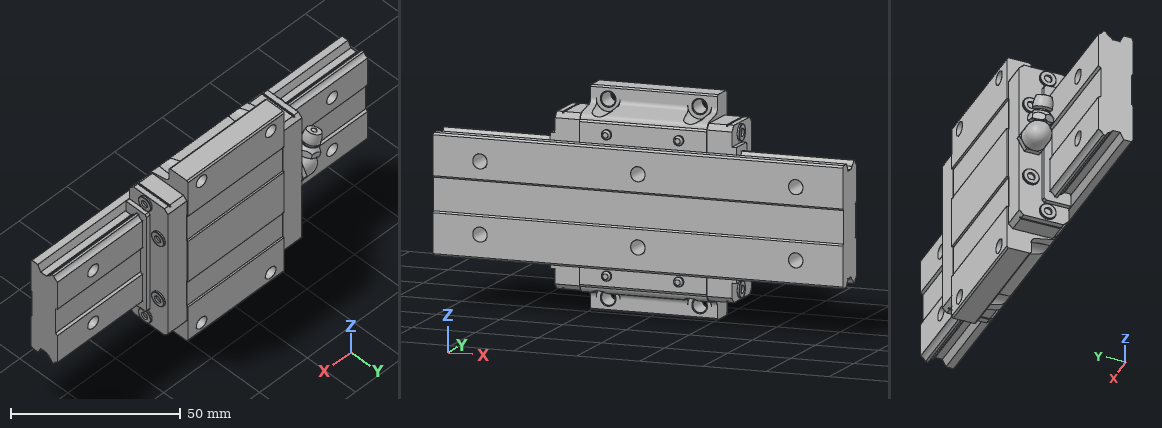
import cadquery as cq
import math


OVERALL_HEIGHT = 21.0

RAIL_LENGTH = 130.0
RAIL_HALF_WIDTH = 18.6
RAIL_HEIGHT = 11.2
RAIL_EDGE_CHAMFER_Y = 0.5
RAIL_EDGE_CHAMFER_Z = 0.6
RAIL_FOOT_HEIGHT = 3.0
WAIST_HALF_WIDTH = 16.2
WAIST_BOTTOM = 4.2
WAIST_TOP = 6.5
RACE_RADIUS = 2.6
LOWER_RACE_START = (7.3, 17.0)
LAND_BOTTOM = 8.7
LAND_TOP = 9.6
RAIL_TOP_HALF_WIDTH = 17.0
RELIEF_FLOOR_HALF_WIDTH = 5.1
RELIEF_MOUTH_HALF_WIDTH = 5.6
BASE_RELIEF_DEPTH = 0.4
TOP_RELIEF_DEPTH = 0.8
RAIL_HOLE_DIAMETER = 4.5
RAIL_HOLE_PITCH = 50.0
RAIL_HOLE_ROW_SPACING = 22.1

BLOCK_LENGTH = 40.3
BLOCK_TOP = 20.9
BLOCK_BOTTOM = 4.2
FLANGE_HALF_WIDTH = 68.0 / 2
FLANGE_UNDERSIDE = 13.0
FLANGE_CHAMFER = 0.5
ROOT_ARC_START_Z = 30.0
FLANK_TOP = (11.6, 28.2)
FLANK_BOTTOM = (6.4, 27.2)
CORNER_END = (4.5, 25.2)
BOTTOM_EDGE_Z = 24.6
TOP_GROOVE_DEPTH = 0.6
TOP_GROOVE_INNER_Z = 8.6
TOP_GROOVE_OUTER_Z = 19.2

MOUNT_SPACING_X = 29.0
MOUNT_SPACING_Z = 60.0
MOUNT_HOLE_DIAMETER = 4.4
MOUNT_HOLE_MOUTH_DIAMETER = 5.0
SPOTFACE_DIAMETER = 7.5

STUD_DIAMETER = 3.0
STUD_HEIGHT = 1.3
STUD_CHAMFER = 0.6
STUD_SPACING_X = 22.9
STUD_SPACING_Z = 42.6

CAP_END_X = 28.1
CAP_HALF_WIDTH = 26.8
CAP_TOP = 20.4
CAP_BOTTOM = 4.4
CAP_TOP_CHAMFER = 1.4
CAP_BOTTOM_CHAMFER = 1.7
CAP_GROOVE_X = 26.0
CAP_GROOVE_WIDTH = 0.4
CAP_GROOVE_DEPTH = 0.4
SEAL_END_X = 29.5
SEAL_HALF_WIDTH = 20.5
SEAL_TOP = 13.0
SEAL_CHAMFER = 0.6
SCREW_HEAD_DIAMETER = 5.2
SCREW_HEAD_CHAMFER = 0.1
SCREW_HEAD_HEIGHT = 0.6
SCREW_SOCKET_DIAMETER = 2.5
SCREW_CENTRES_YZ = [(16.8, 12.7), (11.3, 23.7)]

NIPPLE_TILT = 22.5
COLLAR_ACROSS_FLATS = 8.0
COLLAR_ACROSS_CORNERS = COLLAR_ACROSS_FLATS / math.cos(math.pi / 6)
NIPPLE_Y = OVERALL_HEIGHT - COLLAR_ACROSS_CORNERS / 2
COLLAR_END_X = 29.6
DOME_RADIUS = 4.0
DOME_CENTRE_X = 32.9
HEX_ACROSS_FLATS = 6.8
HEX_START = 3.5
HEX_END = 6.6
HEX_BASE_CHAMFER_LENGTH = 0.3
HEX_TOP_RADIUS = 2.5
HEX_CHAMFER_LENGTH = 1.5
NECK_RADIUS = 2.1
HEAD_RADIUS = 3.0
HEAD_CONE_START = 7.2
HEAD_WIDE_START = 7.7
HEAD_WIDE_END = 8.6
TIP_RADIUS = 2.5
TIP_END = 11.3
BALL_RADIUS = 1.0
BALL_SINK = 0.4


def extrude_along_x(outline, start_x, end_x):
    """Extrude a closed outline drawn in (Y, Z) between two X positions."""
    return outline.extrude(end_x - start_x).translate((start_x, 0, 0))


def mirrored_polygon(half_points):
    """Closed (Y, Z) outline from its +Z half and the mirror image of that half."""
    other_half = [(y, -z) for y, z in reversed(half_points)]
    return cq.Workplane("YZ").polyline(half_points + other_half).close()


def cylinder_along_y(diameter, x, y, z, height):
    solid = cq.Solid.makeCylinder(diameter / 2, height, cq.Vector(x, y, z), cq.Vector(0, 1, 0))
    return cq.Workplane(solid)


def rail_stock():
    """The rail section at full length, with its two ball races per side but without its holes."""
    outline = (
        cq.Workplane("YZ")
        .moveTo(BASE_RELIEF_DEPTH, 0)
        .lineTo(BASE_RELIEF_DEPTH, RELIEF_FLOOR_HALF_WIDTH)
        .lineTo(0, RELIEF_MOUTH_HALF_WIDTH)
        .lineTo(0, RAIL_HALF_WIDTH - RAIL_EDGE_CHAMFER_Z)
        .lineTo(RAIL_EDGE_CHAMFER_Y, RAIL_HALF_WIDTH)
        .lineTo(RAIL_FOOT_HEIGHT, RAIL_HALF_WIDTH)
        .lineTo(WAIST_BOTTOM, WAIST_HALF_WIDTH)
        .lineTo(WAIST_TOP, WAIST_HALF_WIDTH)
        .lineTo(*LOWER_RACE_START)
        .radiusArc((LAND_BOTTOM, RAIL_HALF_WIDTH), -RACE_RADIUS)
        .lineTo(LAND_TOP, RAIL_HALF_WIDTH)
        .radiusArc((RAIL_HEIGHT, RAIL_TOP_HALF_WIDTH), -RACE_RADIUS)
        .lineTo(RAIL_HEIGHT, RELIEF_MOUTH_HALF_WIDTH)
        .lineTo(RAIL_HEIGHT - TOP_RELIEF_DEPTH, RELIEF_FLOOR_HALF_WIDTH)
        .lineTo(RAIL_HEIGHT - TOP_RELIEF_DEPTH, 0)
        .close()
    )
    half = extrude_along_x(outline, -RAIL_LENGTH / 2, RAIL_LENGTH / 2)
    return half.union(half.mirror("XY"))


def make_rail():
    rail = rail_stock()
    for column in (-1, 0, 1):
        for side in (-1, 1):
            hole = cylinder_along_y(
                RAIL_HOLE_DIAMETER,
                column * RAIL_HOLE_PITCH,
                0,
                side * RAIL_HOLE_ROW_SPACING / 2,
                RAIL_HEIGHT,
            )
            rail = rail.cut(hole)
    return rail


def block_half():
    """The +Z half of the flanged block, with one groove in its mounting face."""
    outline = (
        cq.Workplane("YZ")
        .moveTo(BLOCK_BOTTOM, 0)
        .lineTo(BLOCK_TOP, 0)
        .lineTo(BLOCK_TOP, TOP_GROOVE_INNER_Z)
        .lineTo(BLOCK_TOP - TOP_GROOVE_DEPTH, TOP_GROOVE_INNER_Z)
        .lineTo(BLOCK_TOP - TOP_GROOVE_DEPTH, TOP_GROOVE_OUTER_Z)
        .lineTo(BLOCK_TOP, TOP_GROOVE_OUTER_Z)
        .lineTo(BLOCK_TOP, FLANGE_HALF_WIDTH - FLANGE_CHAMFER)
        .lineTo(BLOCK_TOP - FLANGE_CHAMFER, FLANGE_HALF_WIDTH)
        .lineTo(FLANGE_UNDERSIDE + FLANGE_CHAMFER, FLANGE_HALF_WIDTH)
        .lineTo(FLANGE_UNDERSIDE, FLANGE_HALF_WIDTH - FLANGE_CHAMFER)
        .lineTo(FLANGE_UNDERSIDE, ROOT_ARC_START_Z)
        .tangentArcPoint(FLANK_TOP, relative=False)
        .lineTo(*FLANK_BOTTOM)
        .tangentArcPoint(CORNER_END, relative=False)
        .lineTo(BLOCK_BOTTOM, BOTTOM_EDGE_Z)
        .close()
    )
    return extrude_along_x(outline, -BLOCK_LENGTH / 2, BLOCK_LENGTH / 2)


def cut_mounting_holes(block):
    """Chamfered holes through the flanges, with spotfaces that scoop the flanks."""
    mouth_depth = (MOUNT_HOLE_MOUTH_DIAMETER - MOUNT_HOLE_DIAMETER) / 2
    for side_x in (-1, 1):
        for side_z in (-1, 1):
            x = side_x * MOUNT_SPACING_X / 2
            z = side_z * MOUNT_SPACING_Z / 2
            mouth = cq.Solid.makeCone(
                MOUNT_HOLE_MOUTH_DIAMETER / 2,
                MOUNT_HOLE_DIAMETER / 2,
                mouth_depth,
                cq.Vector(x, FLANGE_UNDERSIDE, z),
                cq.Vector(0, 1, 0),
            )
            block = block.cut(cylinder_along_y(SPOTFACE_DIAMETER, x, 0, z, FLANGE_UNDERSIDE))
            block = block.cut(cylinder_along_y(MOUNT_HOLE_DIAMETER, x, 0, z, BLOCK_TOP))
            block = block.cut(cq.Workplane(mouth))
    return block


def add_studs(block):
    """Chamfered studs on the underside of the block."""
    stud_end = BLOCK_BOTTOM - STUD_HEIGHT
    for side_x in (-1, 1):
        for side_z in (-1, 1):
            x = side_x * STUD_SPACING_X / 2
            z = side_z * STUD_SPACING_Z / 2
            stud = cylinder_along_y(STUD_DIAMETER, x, stud_end, z, STUD_HEIGHT)
            stud = stud.faces("<Y").chamfer(STUD_CHAMFER)
            block = block.union(stud)
    return block


def make_end_cap():
    """The +X end cap with its seal and screw heads."""
    half_section = [
        (CAP_BOTTOM, CAP_HALF_WIDTH - CAP_BOTTOM_CHAMFER),
        (CAP_BOTTOM + CAP_BOTTOM_CHAMFER, CAP_HALF_WIDTH),
        (CAP_TOP - CAP_TOP_CHAMFER, CAP_HALF_WIDTH),
        (CAP_TOP, CAP_HALF_WIDTH - CAP_TOP_CHAMFER),
    ]
    cap = extrude_along_x(mirrored_polygon(half_section), BLOCK_LENGTH / 2, CAP_END_X)

    groove_centre_z = CAP_HALF_WIDTH - CAP_GROOVE_DEPTH / 2
    for side in (-1, 1):
        groove = cq.Workplane().box(CAP_GROOVE_WIDTH, 2 * CAP_TOP, CAP_GROOVE_DEPTH)
        cap = cap.cut(groove.translate((CAP_GROOVE_X, 0, side * groove_centre_z)))

    seal_half_section = [
        (CAP_BOTTOM, SEAL_HALF_WIDTH),
        (SEAL_TOP - SEAL_CHAMFER, SEAL_HALF_WIDTH),
        (SEAL_TOP, SEAL_HALF_WIDTH - SEAL_CHAMFER),
    ]
    cap = cap.union(extrude_along_x(mirrored_polygon(seal_half_section), CAP_END_X, SEAL_END_X))

    for y, z in SCREW_CENTRES_YZ:
        for side in (-1, 1):
            head = (
                cq.Workplane("YZ", origin=(CAP_END_X, y, side * z))
                .circle(SCREW_HEAD_DIAMETER / 2)
                .extrude(SCREW_HEAD_HEIGHT)
                .faces(">X")
                .chamfer(SCREW_HEAD_CHAMFER)
                .faces(">X")
                .workplane()
                .hole(SCREW_SOCKET_DIAMETER, SCREW_HEAD_HEIGHT)
            )
            cap = cap.union(head)
    return cap


def make_collar():
    """Hexagonal collar of the nipple, seated on the -X end cap with two corners along Y."""
    outline = cq.Workplane("YZ").center(NIPPLE_Y, 0).polygon(6, COLLAR_ACROSS_CORNERS)
    return extrude_along_x(outline, -COLLAR_END_X, -CAP_END_X)


def make_carriage():
    half = block_half()
    block = half.union(half.mirror("XY"))
    block = add_studs(cut_mounting_holes(block))
    cap = make_end_cap()
    carriage = block.union(cap).union(cap.mirror("YZ"))
    return carriage.cut(rail_stock()).cut(make_collar())


def nipple_fitting():
    """Hexagon, neck and head of the nipple, standing along +Z from the origin."""
    hex_corner_radius = HEX_ACROSS_FLATS / 2 / math.cos(math.pi / 6)
    hexagon = (
        cq.Workplane("XY", origin=(0, 0, HEX_START))
        .polygon(6, 2 * hex_corner_radius)
        .extrude(HEX_END - HEX_START)
    )
    hexagon_limit = (
        cq.Workplane("XZ")
        .polyline([
            (0, HEX_START),
            (HEX_ACROSS_FLATS / 2, HEX_START),
            (hex_corner_radius, HEX_START + HEX_BASE_CHAMFER_LENGTH),
            (hex_corner_radius, HEX_END - HEX_CHAMFER_LENGTH),
            (HEX_TOP_RADIUS, HEX_END),
            (0, HEX_END),
        ])
        .close()
        .revolve(360, (0, 0), (0, 1))
    )
    head = (
        cq.Workplane("XZ")
        .moveTo(0, 0)
        .lineTo(NECK_RADIUS, 0)
        .lineTo(NECK_RADIUS, HEAD_CONE_START)
        .lineTo(HEAD_RADIUS, HEAD_WIDE_START)
        .lineTo(HEAD_RADIUS, HEAD_WIDE_END)
        .tangentArcPoint((TIP_RADIUS, TIP_END), relative=False)
        .lineTo(0, TIP_END)
        .close()
        .revolve(360, (0, 0), (0, 1))
    )
    ball = cq.Workplane().sphere(BALL_RADIUS).translate((0, 0, TIP_END - BALL_SINK))
    return head.union(hexagon.intersect(hexagon_limit)).union(ball)


def make_nipple():
    """Hexagonal collar, round-ended elbow and a fitting tilted from +Z towards -X."""
    elbow = (
        cq.Workplane("XY")
        .moveTo(-COLLAR_END_X, 0)
        .lineTo(-COLLAR_END_X, DOME_RADIUS)
        .lineTo(-DOME_CENTRE_X, DOME_RADIUS)
        .radiusArc((-DOME_CENTRE_X - DOME_RADIUS, 0), -DOME_RADIUS)
        .close()
        .revolve(360, (0, 0), (1, 0))
        .translate((0, NIPPLE_Y, 0))
    )
    fitting = nipple_fitting().rotate((0, 0, 0), (0, 1, 0), -NIPPLE_TILT)
    fitting = fitting.translate((-DOME_CENTRE_X, NIPPLE_Y, 0))
    return make_collar().union(elbow).union(fitting)


rail = make_rail()
carriage = make_carriage()
nipple = make_nipple()

result = cq.Compound.makeCompound([
    rail.solids().val(),
    carriage.solids().val(),
    nipple.solids().val(),
])